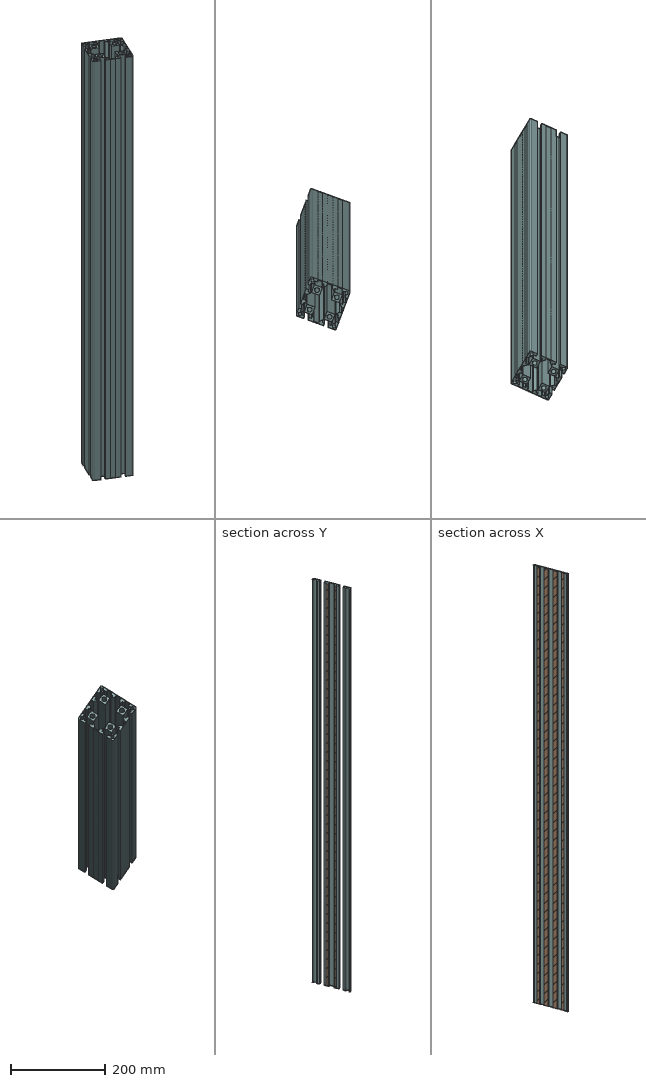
import cadquery as cq

length = 1000.0
side = 90.0
half_side = side / 2
corner_radius = 3.0

slot_offset = side / 4
mouth_width = 10.0
lip_thickness = 6.0
slot_inner_width = 20.0
cover_thickness = 1.5

core_size = 18.0
bore_diameter = 10.0
core_inner_face = slot_offset - core_size / 2
core_outer_face = slot_offset + core_size / 2

web_corner_setback = 1.0

pocket_wall = 2.0

corner_hollow_diameter = 7.0
corner_hollow_inset = 3.0

SIDE_ANGLES = {"front": 0, "right": 90, "back": 180, "left": 270}
COVERED_SIDES = ("back", "left")


def prism(points):
    """Full-length prism over a closed outline."""
    return cq.Workplane("XY").polyline(points).close().extrude(length)


def turn(body, angle):
    """Rotate a body about the long axis of the bar."""
    return body.rotate((0, 0, 0), (0, 0, 1), angle)


def round_bores(pitch, diameter):
    """Four full-length bores on a square pattern."""
    pattern = cq.Workplane("XY").rarray(pitch, pitch, 2, 2)
    return pattern.circle(diameter / 2).extrude(length)


def bar():
    body = cq.Workplane("XY").rect(side, side).extrude(length)
    return body.edges("|Z").fillet(corner_radius)


def slot(center_x, covered):
    """T-slot in the -Y side; a covered slot keeps a thin skin over its mouth."""
    mouth_y = -half_side + (cover_thickness if covered else 0)
    lip_y = -half_side + lip_thickness
    floor_y = -core_outer_face
    half_mouth = mouth_width / 2
    half_inner = slot_inner_width / 2
    half_floor = core_size / 2 - web_corner_setback
    shoulder_y = floor_y - (half_inner - half_floor)
    right_half = [
        (half_mouth, mouth_y),
        (half_mouth, lip_y),
        (half_inner, lip_y),
        (half_inner, shoulder_y),
        (half_floor, floor_y),
    ]
    left_half = [(-x, y) for x, y in reversed(right_half)]
    return prism([(center_x + x, y) for x, y in right_half + left_half])


def chamber():
    """Cross between the cores; each arm tapers at 45 degrees into its pocket."""
    ledge_y = half_side - lip_thickness
    pocket_y = half_side - pocket_wall
    half_pocket = core_inner_face - (ledge_y - core_outer_face)
    right_half = [
        (core_inner_face, 0),
        (core_inner_face, core_outer_face),
        (half_pocket, ledge_y),
        (half_pocket, pocket_y),
    ]
    left_half = [(-x, y) for x, y in reversed(right_half)]
    arm = prism(right_half + left_half)
    cross = arm
    for angle in (90, 180, 270):
        cross = cross.union(turn(arm, angle))
    return cross


hollow_pitch = side - 2 * corner_hollow_inset - corner_hollow_diameter

result = bar().cut(chamber())
result = result.cut(round_bores(2 * slot_offset, bore_diameter))
result = result.cut(round_bores(hollow_pitch, corner_hollow_diameter))
for side_name, side_angle in SIDE_ANGLES.items():
    for slot_x in (-slot_offset, slot_offset):
        cutter = slot(slot_x, side_name in COVERED_SIDES)
        result = result.cut(turn(cutter, side_angle))

result = result.solids()